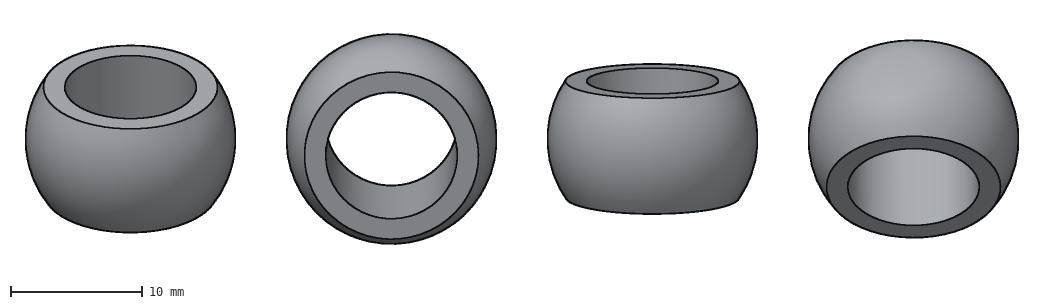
import cadquery as cq

ball_diameter = 16.0
ball_width = 9.0
bore_diameter = 10.0

ball = cq.Workplane("XY").sphere(ball_diameter / 2)
slab = cq.Workplane("XY").box(ball_diameter, ball_diameter, ball_width)
trimmed_ball = ball.intersect(slab)

result = trimmed_ball.faces(">Z").workplane(origin=(0, 0, 0)).hole(bore_diameter)